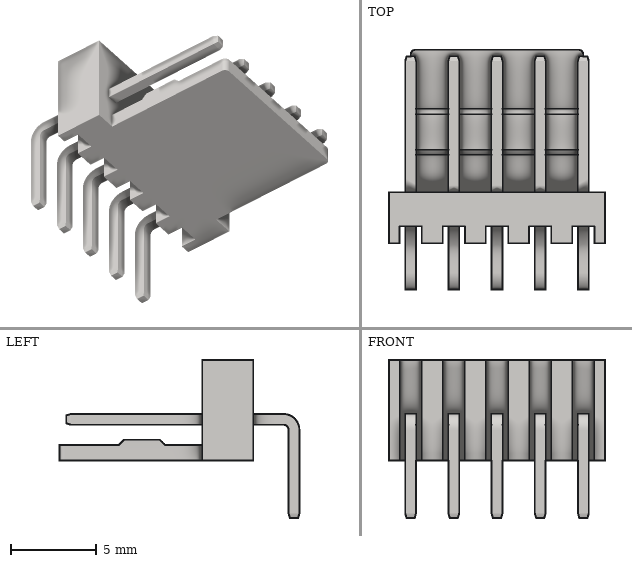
import cadquery as cq


PIN_COUNT = 5
PITCH = 2.54
PIN_SIZE = 0.65
PIN_AXIS_Z = 2.43
PIN_REACH = 7.98
PIN_OVERHANG = 2.71
TAIL_DROP = 3.38
BEND_INNER_RADIUS = 0.3
TIP_LENGTH = 0.28
TIP_INSET = 0.08

BODY_LENGTH = 12.7
BODY_DEPTH = 3.02
BODY_HEIGHT = 5.92
SLOT_WIDTH = 1.3
SLOT_DEPTH = 1.0

PLATE_WIDTH = (PIN_COUNT - 1) * PITCH
PLATE_LENGTH = 8.38
PLATE_THICKNESS = 0.93
PLATE_CORNER_RADIUS = 0.31
RIDGE_START = 2.19
RIDGE_LENGTH = 2.71
RIDGE_HEIGHT = 0.31

pin_positions = [(i - (PIN_COUNT - 1) / 2) * PITCH for i in range(PIN_COUNT)]


def make_body():
    """Upright block with a full-height slot behind every pin."""
    body = cq.Workplane("XY").box(
        BODY_LENGTH, BODY_DEPTH, BODY_HEIGHT, centered=(True, False, False)
    ).translate((0, -BODY_DEPTH, 0))
    slot = cq.Workplane("XY").box(
        SLOT_WIDTH, SLOT_DEPTH, BODY_HEIGHT, centered=(True, False, False)
    )
    for x in pin_positions:
        body = body.cut(slot.translate((x, -BODY_DEPTH, 0)))
    return body


def make_plate():
    """Flat plate with rounded free corners and a ridge across its top."""
    ridge_end = RIDGE_START + RIDGE_LENGTH
    ridge_top = PLATE_THICKNESS + RIDGE_HEIGHT
    profile = [
        (0, 0),
        (PLATE_LENGTH, 0),
        (PLATE_LENGTH, PLATE_THICKNESS),
        (ridge_end, PLATE_THICKNESS),
        (ridge_end - RIDGE_HEIGHT, ridge_top),
        (RIDGE_START + RIDGE_HEIGHT, ridge_top),
        (RIDGE_START, PLATE_THICKNESS),
        (0, PLATE_THICKNESS),
    ]
    plate = cq.Workplane("YZ").polyline(profile).close().extrude(PLATE_WIDTH / 2, both=True)
    return plate.faces(">Y").edges("|Z").fillet(PLATE_CORNER_RADIUS)


def make_tip(leg_end):
    """Tapered tip continuing from the end face of a straight leg."""
    tip_size = PIN_SIZE - 2 * TIP_INSET
    return (
        leg_end.rect(PIN_SIZE, PIN_SIZE)
        .workplane(offset=TIP_LENGTH)
        .rect(tip_size, tip_size)
        .loft(ruled=True)
    )


def make_pin():
    """Square wire bent down behind the body, with both ends tapered."""
    bend_radius = BEND_INNER_RADIUS + PIN_SIZE / 2
    tail_y = -BODY_DEPTH - PIN_OVERHANG + PIN_SIZE / 2
    mating_end = PIN_REACH - TIP_LENGTH
    tail_end = -TAIL_DROP + TIP_LENGTH
    path = (
        cq.Workplane("YZ")
        .moveTo(mating_end, PIN_AXIS_Z)
        .lineTo(tail_y + bend_radius, PIN_AXIS_Z)
        .tangentArcPoint((tail_y, PIN_AXIS_Z - bend_radius), relative=False)
        .lineTo(tail_y, tail_end)
    )
    mating_plane = cq.Plane((0, mating_end, PIN_AXIS_Z), xDir=(1, 0, 0), normal=(0, 1, 0))
    tail_plane = cq.Plane((0, tail_y, tail_end), xDir=(1, 0, 0), normal=(0, 0, -1))
    wire = cq.Workplane(mating_plane).rect(PIN_SIZE, PIN_SIZE).sweep(path)
    return (
        wire.union(make_tip(cq.Workplane(mating_plane)))
        .union(make_tip(cq.Workplane(tail_plane)))
    )


result = make_body().union(make_plate())
pin = make_pin()
for x in pin_positions:
    result = result.union(pin.translate((x, 0, 0)))